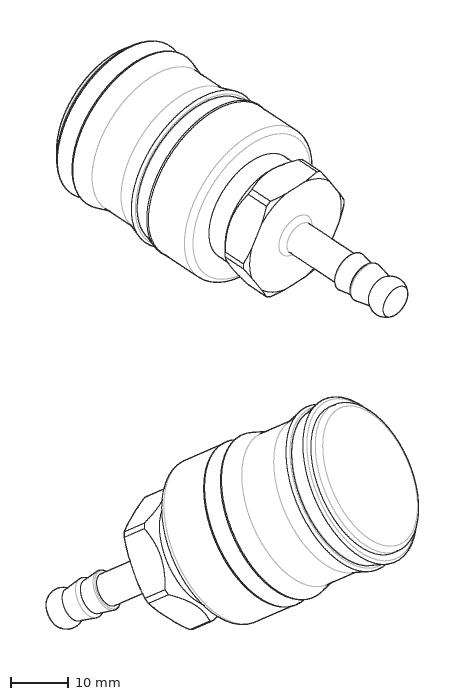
import cadquery as cq
import math

length = 71.2

nose_radius = 28.0 / 2
nose_rim_fillet = 0.9

sleeve_end = 35.2
sleeve_radius = 31.0 / 2
sleeve_end_fillet = 1.1
grip_center = 13.6
waist_radius = 29.0 / 2
waist_half_length = 3.6

ridge_radius = 31.2 / 2
ridge_fillet = 0.5
inner_crest_offset = 7.35
outer_crest_offset = 11.2
groove_edge_offset = 8.0
groove_radius = 14.7

collar_radius = 21.0 / 2
collar_end = 39.25

nut_across_flats = 22.0
nut_across_corners = nut_across_flats / math.cos(math.pi / 6)
nut_corner_radius = 12.4
nut_end = 46.15
nut_front_chamfer = nut_corner_radius - collar_radius
nut_back_chamfer_length = 0.4
nut_back_chamfer_depth = 1.15

stem_radius = 6.1 / 2
stem_root_fillet = 1.0
barb_radius = 3.8
first_barb_start = 59.7
first_barb_fillet = 0.2
first_barb_end = 63.25
first_barb_end_radius = 3.2
second_barb_crest = 63.9
second_barb_edge_radius = 0.65
second_barb_end = 67.5

bulb_crest = (second_barb_end + length) / 2


def sleeve():
    """Revolve the nose, the grip and the rear sleeve about the X axis."""
    ridge_wall_radius = ridge_radius - ridge_fillet
    inner_wall_offset = inner_crest_offset + ridge_fillet
    front_wall = grip_center - outer_crest_offset - ridge_fillet
    rear_round_length = math.sqrt(ridge_fillet**2 - (ridge_fillet - ridge_radius + sleeve_radius) ** 2)
    rear_crest = grip_center + outer_crest_offset

    return (
        cq.Workplane("XY")
        .moveTo(0, 0)
        .lineTo(0, nose_radius - nose_rim_fillet)
        .radiusArc((nose_rim_fillet, nose_radius), nose_rim_fillet)
        .lineTo(front_wall, nose_radius)
        .lineTo(front_wall, ridge_wall_radius)
        .radiusArc((grip_center - outer_crest_offset, ridge_radius), ridge_fillet)
        .lineTo(grip_center - groove_edge_offset, groove_radius)
        .lineTo(grip_center - inner_wall_offset, groove_radius)
        .lineTo(grip_center - inner_wall_offset, ridge_wall_radius)
        .radiusArc((grip_center - inner_crest_offset, ridge_radius), ridge_fillet)
        .lineTo(grip_center - waist_half_length, waist_radius)
        .lineTo(grip_center + waist_half_length, waist_radius)
        .lineTo(grip_center + inner_crest_offset, ridge_radius)
        .radiusArc((grip_center + inner_wall_offset, ridge_wall_radius), ridge_fillet)
        .lineTo(grip_center + inner_wall_offset, groove_radius)
        .lineTo(grip_center + groove_edge_offset, groove_radius)
        .lineTo(rear_crest, ridge_radius)
        .radiusArc((rear_crest + rear_round_length, sleeve_radius), ridge_fillet)
        .lineTo(sleeve_end - sleeve_end_fillet, sleeve_radius)
        .radiusArc((sleeve_end, sleeve_radius - sleeve_end_fillet), sleeve_end_fillet)
        .lineTo(sleeve_end, 0)
        .close()
        .revolve(360, (0, 0, 0), (1, 0, 0))
    )


def collar():
    """Plain cylinder between the sleeve and the nut."""
    collar_length = collar_end - sleeve_end
    return cq.Workplane("YZ", origin=(sleeve_end, 0, 0)).circle(collar_radius).extrude(collar_length)


def hexagon_nut():
    """Hexagon with corners on the Y axis, cut to a turned envelope."""
    hexagon = (
        cq.Workplane("YZ", origin=(collar_end, 0, 0))
        .polygon(6, nut_across_corners)
        .extrude(nut_end - collar_end)
    )
    envelope = (
        cq.Workplane("XY")
        .polyline([
            (collar_end, 0),
            (collar_end, collar_radius),
            (collar_end + nut_front_chamfer, nut_corner_radius),
            (nut_end - nut_back_chamfer_length, nut_corner_radius),
            (nut_end, nut_corner_radius - nut_back_chamfer_depth),
            (nut_end, 0),
        ])
        .close()
        .revolve(360, (0, 0, 0), (1, 0, 0))
    )
    return hexagon.intersect(envelope)


def hose_stem():
    """Stem with a flared root, two barbs and a rounded bulb."""
    return (
        cq.Workplane("XY")
        .moveTo(nut_end, 0)
        .lineTo(nut_end, stem_radius + stem_root_fillet)
        .radiusArc((nut_end + stem_root_fillet, stem_radius), -stem_root_fillet)
        .lineTo(first_barb_start, stem_radius)
        .lineTo(first_barb_start, barb_radius - first_barb_fillet)
        .radiusArc((first_barb_start + first_barb_fillet, barb_radius), first_barb_fillet)
        .lineTo(first_barb_end, first_barb_end_radius)
        .radiusArc((second_barb_crest, barb_radius), second_barb_edge_radius)
        .lineTo(second_barb_end, stem_radius)
        .threePointArc((bulb_crest, barb_radius), (length, stem_radius))
        .lineTo(length, 0)
        .close()
        .revolve(360, (0, 0, 0), (1, 0, 0))
    )


result = sleeve().union(collar()).union(hexagon_nut()).union(hose_stem())